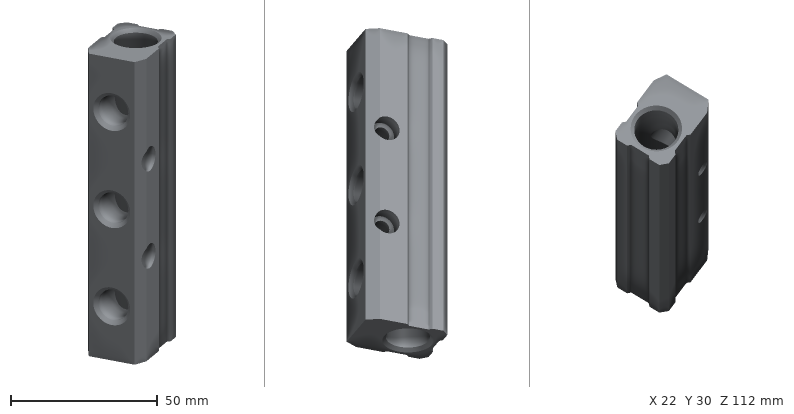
import cadquery as cq

length = 112.0
width = 22.0
depth = 30.0
bore_to_back = 11.0
half_width = width / 2
back_y = bore_to_back
front_y = back_y - depth

back_bevel = 2.4
front_bevel_x = 2.4
front_bevel_y = 4.4

groove_depth = 1.0
groove_half_opening = 4.6
groove_half_floor = groove_half_opening - groove_depth

bore_diameter = 15.0
bore_mouth = 1.2
port_diameter = 11.2
port_mouth = 1.3
port_pitch = 36.0

cross_diameter = 5.5
cross_pitch = port_pitch
cross_y = front_y + 7.0
head_diameter = 9.0
head_depth = 5.0


def make_block():
    """Extrude the right half of the symmetric section and mirror it."""
    half_section = [
        (0, front_y),
        (half_width - front_bevel_x, front_y),
        (half_width, front_y + front_bevel_y),
        (half_width, -groove_half_opening),
        (half_width - groove_depth, -groove_half_floor),
        (half_width - groove_depth, groove_half_floor),
        (half_width, groove_half_opening),
        (half_width, back_y - back_bevel),
        (half_width - back_bevel, back_y),
        (groove_half_opening, back_y),
        (groove_half_floor, back_y - groove_depth),
        (0, back_y - groove_depth),
    ]
    half = cq.Workplane("XY").polyline(half_section).close().extrude(length)
    return half.union(half.mirror("YZ")).clean()


def hole_with_mouth(start, direction, diameter, hole_depth, mouth):
    """Cylinder along direction with a 45 degree flare at its start."""
    radius = diameter / 2
    point = cq.Vector(*start)
    axis = cq.Vector(*direction)
    cylinder = cq.Solid.makeCylinder(radius, hole_depth, point, axis)
    flare = cq.Solid.makeCone(radius + mouth, radius, mouth, point, axis)
    return cq.Workplane(cylinder).union(cq.Workplane(flare))


result = make_block()

for end_z, direction_z in ((0, 1), (length, -1)):
    result = result.cut(
        hole_with_mouth((0, 0, end_z), (0, 0, direction_z), bore_diameter, length, bore_mouth)
    )

for step in (-1, 0, 1):
    port_z = length / 2 + step * port_pitch
    result = result.cut(
        hole_with_mouth((0, front_y, port_z), (0, 1, 0), port_diameter, -front_y, port_mouth)
    )

for side in (-1, 1):
    cross_z = length / 2 + side * cross_pitch / 2
    cross_start = cq.Vector(half_width, cross_y, cross_z)
    inward = cq.Vector(-1, 0, 0)
    cross_hole = cq.Solid.makeCylinder(cross_diameter / 2, width, cross_start, inward)
    head_recess = cq.Solid.makeCylinder(head_diameter / 2, head_depth, cross_start, inward)
    result = result.cut(cq.Workplane(cross_hole))
    result = result.cut(cq.Workplane(head_recess))